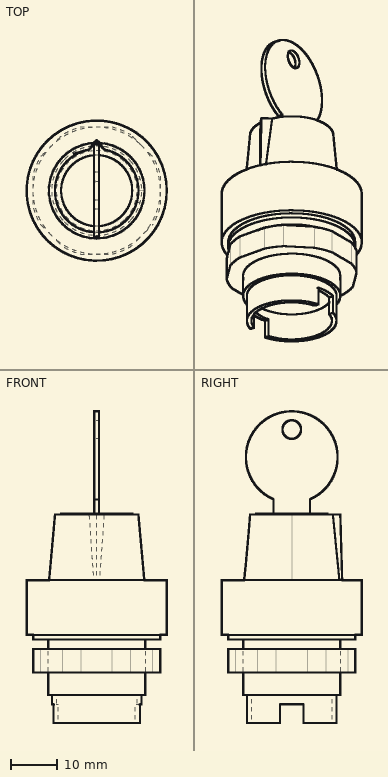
import cadquery as cq

skirt_radius = 9.75
skirt_wall = 1.0
skirt_top = 6.1
slot_width = 5.1
slot_height = 4.1
barrel_radius = 10.6
barrel_top = 18.2
lip_radius = 13.8
lip_top = 19.2
head_radius = 15.25
head_top = 31.05

nut_sides = 8
nut_flats = 2 * lip_radius
nut_corner_radius = 14.25
nut_bottom = 11.0
nut_height = 5.15

knob_base_radius = 10.4
knob_top_radius = 9.1
knob_top = 45.35
face_radius = 7.7
face_height = 0.2
pointer_base_reach = 11.0
pointer_top_reach = 10.6
pointer_root = 6.8

key_top = 67.8
key_thickness = 1.1
bow_diameter = 20.0
neck_width = 8.0
key_hole_diameter = 4.0
key_hole_drop = 4.0


def cylinder(radius, bottom, top):
    return cq.Workplane("XY").workplane(offset=bottom).circle(radius).extrude(top - bottom)


def make_housing():
    housing = (
        cylinder(skirt_radius, 0, skirt_top)
        .cut(cylinder(skirt_radius - skirt_wall, 0, skirt_top))
        .union(cylinder(barrel_radius, skirt_top, barrel_top))
        .union(cylinder(lip_radius, barrel_top, lip_top))
        .union(cylinder(head_radius, lip_top, head_top))
    )
    slot = cq.Workplane("XY").rect(2 * skirt_radius, slot_width).extrude(slot_height)
    return housing.cut(slot)


def make_nut():
    plane = cq.Workplane("XY").workplane(offset=nut_bottom)
    octagon = plane.polygon(nut_sides, nut_flats, circumscribed=True).extrude(nut_height)
    nut_top = nut_bottom + nut_height
    rounded = octagon.intersect(cylinder(nut_corner_radius, nut_bottom, nut_top))
    return rounded.cut(cylinder(barrel_radius, nut_bottom, nut_top))


def pointer_outline(reach):
    half_width = reach - pointer_root
    return [(-half_width, pointer_root), (half_width, pointer_root), (0, reach)]


def make_knob():
    grip_height = knob_top - head_top
    base = cq.Workplane("XY").workplane(offset=head_top)
    grip = (
        base.circle(knob_base_radius)
        .workplane(offset=grip_height)
        .circle(knob_top_radius)
        .loft(ruled=True)
    )
    pointer = (
        base.polyline(pointer_outline(pointer_base_reach)).close()
        .workplane(offset=grip_height)
        .polyline(pointer_outline(pointer_top_reach)).close()
        .loft(ruled=True)
    )
    face = cylinder(face_radius, knob_top, knob_top + face_height)
    return grip.union(pointer).union(face)


def make_key():
    bow_center = key_top - bow_diameter / 2
    neck_bottom = knob_top + face_height
    side = cq.Workplane("YZ").workplane(offset=-key_thickness / 2)
    bow = side.center(0, bow_center).circle(bow_diameter / 2).extrude(key_thickness)
    neck_height = bow_center - neck_bottom
    neck = (
        side.center(0, neck_bottom + neck_height / 2)
        .rect(neck_width, neck_height)
        .extrude(key_thickness)
    )
    hole = (
        side.center(0, key_top - key_hole_drop)
        .circle(key_hole_diameter / 2)
        .extrude(key_thickness)
    )
    return bow.union(neck).cut(hole)


housing = make_housing()
nut = make_nut()
knob = make_knob()
key = make_key()
result = cq.Compound.makeCompound([housing.val(), nut.val(), knob.val(), key.val()])